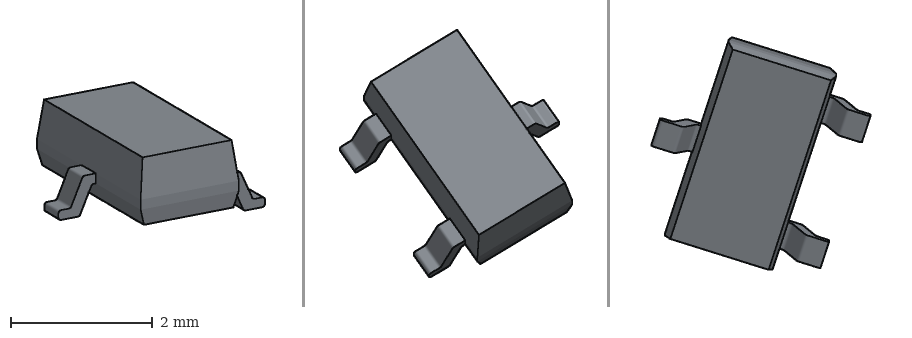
import cadquery as cq

body_length = 2.94
body_width = 1.6
body_bottom = 0.2
band_top = 0.6
body_top = 1.2
top_inset = 0.074
bottom_inset_x = 0.03
bottom_inset_y = 0.07

lead_span = 2.82
lead_width = 0.4
lead_thickness = 0.15
lead_pitch = 1.91
bend_radius = 0.05
upper_outer_bend = 0.21
lower_outer_bend = 0.412
upper_inner_bend = 0.062
lower_inner_bend = 0.265

band_bottom = band_top - lead_thickness
body_side = body_width / 2
lead_reach = (lead_span - body_width) / 2


def tapered_block(z_start, z_end, inset_x, inset_y):
    """Loft from the full body rectangle to a smaller one at z_end."""
    return (
        cq.Workplane("XY", origin=(0, 0, z_start))
        .rect(body_length, body_width)
        .workplane(offset=z_end - z_start)
        .rect(body_length - 2 * inset_x, body_width - 2 * inset_y)
        .loft(ruled=True)
    )


def make_body():
    band = cq.Workplane("XY", origin=(0, 0, band_bottom)).rect(body_length, body_width).extrude(lead_thickness)
    upper = tapered_block(band_top, body_top, top_inset, top_inset)
    lower = tapered_block(band_bottom, body_bottom, bottom_inset_x, bottom_inset_y)
    return band.union(upper).union(lower)


def make_lead():
    """Lead centred on X = 0, leaving the +Y side of the body, with rounded bends and tip."""
    profile = [
        (0, band_top),
        (upper_outer_bend, band_top),
        (lower_outer_bend, lead_thickness),
        (lead_reach, lead_thickness),
        (lead_reach, 0),
        (lower_inner_bend, 0),
        (upper_inner_bend, band_bottom),
        (0, band_bottom),
    ]
    return (
        cq.Workplane("YZ", origin=(-lead_width / 2, body_side, 0))
        .polyline(profile)
        .close()
        .extrude(lead_width)
        .edges("|X")
        .edges("not <Y")
        .fillet(bend_radius)
    )


lead = make_lead()
result = make_body()
for side in (-1, 1):
    result = result.union(lead.translate((side * lead_pitch / 2, 0, 0)))
result = result.union(lead.rotate((0, 0, 0), (0, 0, 1), 180))